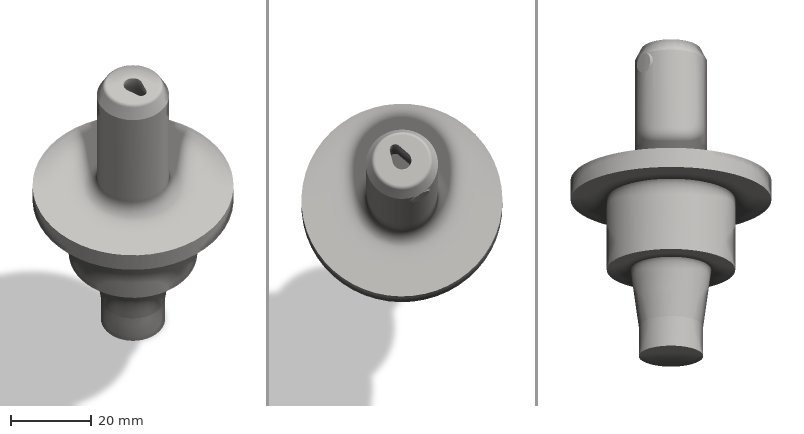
import cadquery as cq
import math

total_height = 81.0
tip_height = 7.8
taper_height = 14.9
hub_height = 18.5
flange_thickness = 5.0

tip_radius = 16.0 / 2
taper_top_radius = 10.05
hub_radius = 32.0 / 2
flange_radius = 50.0 / 2
shaft_radius = 18.0 / 2

root_fillet = 3.0
nose_height = 3.5
nose_inset = 1.8
nose_fillet = 1.0

pocket_depth = 8.4
pocket_large_radius = 2.35
pocket_small_radius = 1.4
pocket_center_spacing = 3.2

pad_radius = 2.5
pad_drop = 5.8
pad_length = 1.6

taper_base = tip_height
hub_base = taper_base + taper_height
flange_base = hub_base + hub_height
flange_top = flange_base + flange_thickness
nose_base = total_height - nose_height


def turned_body():
    """Revolve the half profile about Z, then round the nose edge."""
    root_sweep = root_fillet * (1 - math.sqrt(0.5))
    body = (
        cq.Workplane("XZ")
        .lineTo(tip_radius, 0)
        .lineTo(tip_radius, taper_base)
        .lineTo(taper_top_radius, hub_base)
        .lineTo(hub_radius, hub_base)
        .lineTo(hub_radius, flange_base)
        .lineTo(flange_radius, flange_base)
        .lineTo(flange_radius, flange_top)
        .lineTo(shaft_radius + root_fillet, flange_top)
        .threePointArc(
            (shaft_radius + root_sweep, flange_top + root_sweep),
            (shaft_radius, flange_top + root_fillet),
        )
        .lineTo(shaft_radius, nose_base)
        .lineTo(shaft_radius - nose_inset, total_height)
        .lineTo(0, total_height)
        .close()
        .revolve(360, (0, 0, 0), (0, 1, 0))
    )
    return body.faces(">Z").edges().fillet(nose_fillet)


def side_pad():
    """Cone flaring at 45 degrees into the shaft, its flat end level with the shaft's -X side."""
    pad_center = cq.Vector(-shaft_radius, 0, total_height - pad_drop)
    inner_radius = pad_radius + pad_length
    cone = cq.Solid.makeCone(pad_radius, inner_radius, pad_length, pad_center, cq.Vector(1, 0, 0))
    nose_clearance = cq.Workplane("XY").workplane(offset=flange_top).circle(flange_radius).extrude(
        nose_base - flange_top
    )
    return nose_clearance.intersect(cq.Workplane(cone))


def teardrop_pocket():
    """Two end arcs of different radius joined by their common tangents."""
    tangent_sine = (pocket_large_radius - pocket_small_radius) / pocket_center_spacing
    tangent_cosine = math.sqrt(1 - tangent_sine**2)
    large_x = pocket_large_radius * tangent_sine
    large_y = pocket_large_radius * tangent_cosine
    small_x = pocket_center_spacing + pocket_small_radius * tangent_sine
    small_y = pocket_small_radius * tangent_cosine
    return (
        cq.Workplane("XY")
        .workplane(offset=total_height - pocket_depth)
        .moveTo(large_x, large_y)
        .threePointArc((-pocket_large_radius, 0), (large_x, -large_y))
        .lineTo(small_x, -small_y)
        .threePointArc((pocket_center_spacing + pocket_small_radius, 0), (small_x, small_y))
        .close()
        .extrude(pocket_depth)
    )


result = turned_body().union(side_pad()).cut(teardrop_pocket())